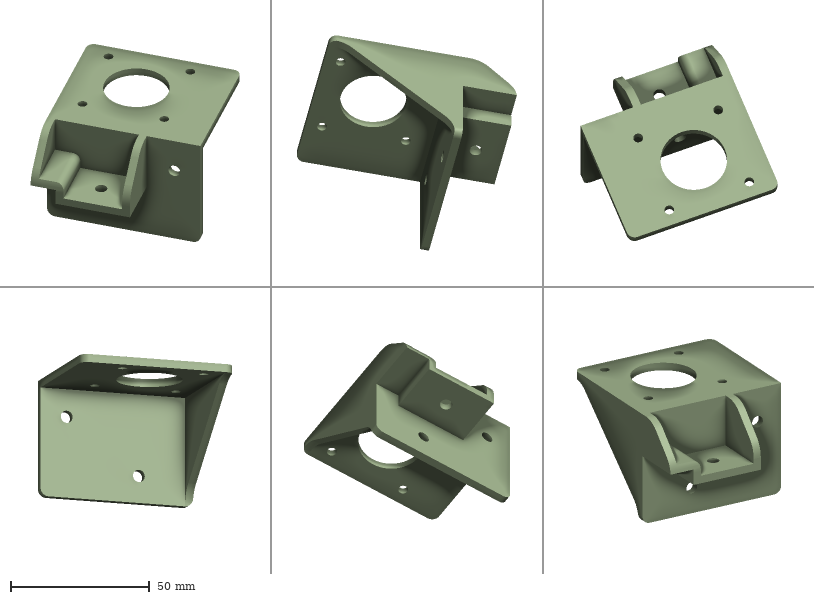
import cadquery as cq

width = 58.0
height = 43.0
total_depth = 69
lug_depth = 20
plate_depth = total_depth - lug_depth
wall = 3.0
corner_radius = wall
profile_radius = 10.0

slope_end_y = 43.9
slope_end_z = -38.2

tray_width = 37.7
upper_floor_z = -13.45
lower_floor_z = -19.45
step_x = 9.6
chamfer = 13.45

motor_x = 25.0
motor_y = 27.6
motor_bore = 24.0
motor_screw_pitch = 31.0
motor_screw_diameter = 3.5

mount_diameter = 4.5
upright_mount_points = [(20.55, -33.0), (48.1, -13.1)]
tray_mount_x = 23.6
tray_mount_y = -lug_depth / 2


def block(x_size, y_size, z_size):
    """Box with its left, front, top corner at the origin."""
    return cq.Workplane("XY").box(x_size, y_size, z_size, centered=False).translate((0, 0, -z_size))


def make_plates():
    """Horizontal motor plate joined to the upright plate."""
    return block(width, plate_depth, wall).union(block(width, wall, height))


def make_gusset():
    """Left side web, blended into both plates at the ends of its slope."""
    outline = [
        (0, 0),
        (plate_depth, 0),
        (plate_depth, -wall),
        (slope_end_y, -wall),
        (wall, slope_end_z),
        (wall, -height),
        (0, -height),
    ]
    gusset = cq.Workplane("YZ").polyline(outline).close().extrude(wall)
    for y, z in [(slope_end_y, -wall), (wall, slope_end_z)]:
        gusset = gusset.edges(cq.selectors.NearestToPointSelector((wall / 2, y, z))).fillet(profile_radius)
    return gusset


def round_corners(body):
    """Round the rear corners of the motor plate and the lower corners of the upright plate."""
    plan = block(width, plate_depth, height).edges("|Z and >Y").fillet(corner_radius)
    elevation = block(width, plate_depth, height).edges("|Y and <Z").fillet(corner_radius)
    return body.intersect(plan).intersect(elevation)


def make_tray():
    """Bent wall of constant thickness, trimmed by a blended 45 degree chamfer."""
    section = [
        (0, 0),
        (wall, 0),
        (wall, upper_floor_z),
        (step_x + wall, upper_floor_z),
        (step_x + wall, lower_floor_z),
        (tray_width - wall, lower_floor_z),
        (tray_width - wall, 0),
        (tray_width, 0),
        (tray_width, lower_floor_z - wall),
        (step_x, lower_floor_z - wall),
        (step_x, upper_floor_z - wall),
        (0, upper_floor_z - wall),
    ]
    step_edge = cq.selectors.NearestToPointSelector((step_x + wall, -lug_depth / 2, upper_floor_z))
    tray = cq.Workplane("XZ").polyline(section).close().extrude(lug_depth).edges(step_edge).fillet(wall)

    side_outline = [
        (wall, 0),
        (chamfer - lug_depth, 0),
        (-lug_depth, -chamfer),
        (-lug_depth, -height),
        (wall, -height),
    ]
    side = cq.Workplane("YZ").polyline(side_outline).close().extrude(tray_width)
    for y, z in [(chamfer - lug_depth, 0), (-lug_depth, -chamfer)]:
        side = side.edges(cq.selectors.NearestToPointSelector((tray_width / 2, y, z))).fillet(profile_radius)
    return tray.intersect(side)


def vertical_hole_cutter(x, y, diameter):
    return cq.Workplane("XY").center(x, y).circle(diameter / 2).extrude(-height)


body = round_corners(make_plates().union(make_gusset())).union(make_tray())

body = body.cut(vertical_hole_cutter(motor_x, motor_y, motor_bore))
for side_x in (-1, 1):
    for side_y in (-1, 1):
        screw_x = motor_x + side_x * motor_screw_pitch / 2
        screw_y = motor_y + side_y * motor_screw_pitch / 2
        body = body.cut(vertical_hole_cutter(screw_x, screw_y, motor_screw_diameter))

body = body.cut(vertical_hole_cutter(tray_mount_x, tray_mount_y, mount_diameter))
upright_holes = cq.Workplane("XZ").pushPoints(upright_mount_points).circle(mount_diameter / 2).extrude(-wall)
result = body.cut(upright_holes)